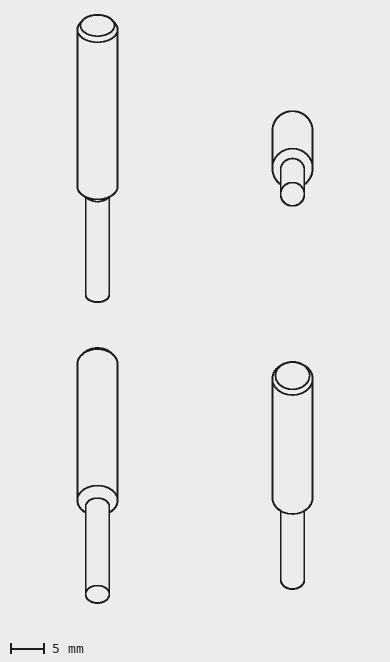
import cadquery as cq

total_length = 52.0
shank_diameter = 6.0
cutter_diameter = 3.55
tip_height = 0.95
cutter_length = 20.0
cone_height = 1.4
end_chamfer_height = 0.8
end_chamfer_width = 0.45

shank_radius = shank_diameter / 2
cutter_radius = cutter_diameter / 2
tip_z = -total_length / 2
top_z = tip_z + total_length
joint_z = tip_z + cutter_length


def revolve_about_z(profile_points):
    """Turn a closed (radius, height) outline about the Z axis."""
    return cq.Workplane("XZ").polyline(profile_points).close().revolve(360, (0, 0), (0, 1))


def make_shank():
    """Clamping shank with a chamfered top end and a cone down to the cutter."""
    return revolve_about_z([
        (0, joint_z),
        (cutter_radius, joint_z),
        (shank_radius, joint_z + cone_height),
        (shank_radius, top_z - end_chamfer_height),
        (shank_radius - end_chamfer_width, top_z),
        (0, top_z),
    ])


def make_cutter():
    """Slender cutting rod with a conical tip, butted against the shank cone."""
    return revolve_about_z([
        (0, tip_z),
        (cutter_radius, tip_z + tip_height),
        (cutter_radius, joint_z),
        (0, joint_z),
    ])


shank = make_shank()
cutter = make_cutter()

result = cq.Compound.makeCompound([shank.val(), cutter.val()])